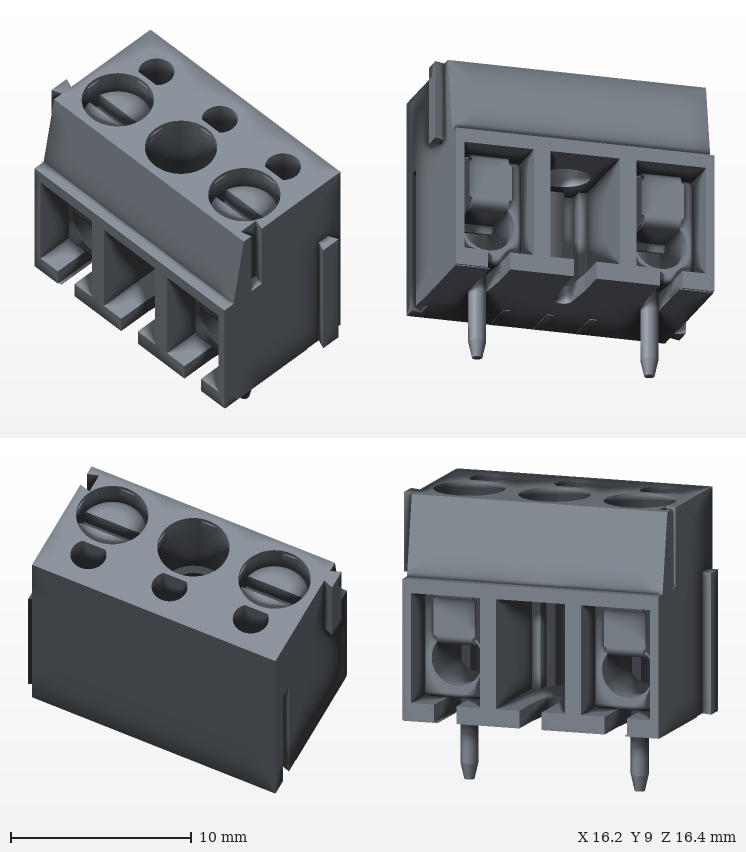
import cadquery as cq
import math


pitch = 5.0
middle_pole = 0.0
terminal_poles = (-pitch, pitch)
all_poles = (-pitch, middle_pole, pitch)

total_width = 16.2
housing_width = 3 * pitch
housing_height = 12.5
front_y = -4.0
rear_y = 5.0
ledge_z = 8.0
slope_bottom_y = -3.3
slope_top_y = -2.5

dovetail_reach = (total_width - housing_width) / 2
dovetail_wide = 1.2
dovetail_neck = 0.7
front_dovetail_y = -1.51
rear_dovetail_y = 3.67
front_groove_clearance = 0.05

floor_z = 1.0
window_top_z = 7.22
window_width = 4.05
window_rear_y = 2.0
pocket_width = 3.05
pocket_rear_y = 3.0

slot_width = 1.31
slot_taper_y = -1.9

bore_diameter = 4.0
shelf_hole_diameter = 3.0
shelf_top_z = ledge_z
test_hole_diameter = 2.0
test_hole_y = 3.0
test_hole_flat_y = 2.3
lug_width = 1.0
lug_height = 0.5
lug_top_depth = 0.26

standoff_height = 0.05
standoff_edge_inset = 0.11
end_standoff_width = 2.0
end_standoff_rear_y = 2.4
rib_width = 0.4

block_size = 4.0
block_edge_radius = 0.3
wire_hole_diameter = 3.0
wire_hole_z = 3.23
pin_diameter = 1.0
pin_tip_diameter = 0.57
pin_length = 3.85
pin_tip_length = 0.93

leaf_thickness = 0.15
leaf_front_y = -2.5
leaf_bend_radius = 0.5
leaf_width = 2.13
leaf_plate_width = 2.45
leaf_leg_z = 4.08
leaf_leg_length = 2.5
leaf_lip_drop = 0.41
leaf_lip_angle = 20.0

screw_diameter = 3.9
screw_top_z = 11.2
screw_edge_radius = 0.2
drive_slot_width = 0.8
drive_slot_depth = 1.0

half_width = housing_width / 2
bore_radius = bore_diameter / 2
pin_radius = pin_diameter / 2
block_top_z = window_top_z - leaf_thickness
leaf_bend_inner_radius = leaf_bend_radius - leaf_thickness
leaf_back_y = leaf_front_y + leaf_thickness


def box(x_range, y_range, z_range):
    """Axis-aligned box between the given limits."""
    size = [high - low for low, high in (x_range, y_range, z_range)]
    corner = (x_range[0], y_range[0], z_range[0])
    return cq.Workplane("XY").box(*size, centered=False).translate(corner)


def centered_box(x, width, y_range, z_range):
    """Box centred on x."""
    return box((x - width / 2, x + width / 2), y_range, z_range)


def cylinder(x, y, diameter, z_range):
    """Upright cylinder."""
    bottom, top = z_range
    return cq.Workplane("XY", origin=(x, y, bottom)).circle(diameter / 2).extrude(top - bottom)


def dovetail(base_x, y, clearance, z_range):
    """Dovetail bar that widens in -X from its neck on the plane x = base_x."""
    bottom, top = z_range
    outer_x = base_x - dovetail_reach - clearance
    half_neck = dovetail_neck / 2 + clearance
    half_wide = dovetail_wide / 2
    points = [
        (base_x, y - half_neck),
        (base_x, y + half_neck),
        (outer_x, y + half_wide),
        (outer_x, y - half_wide),
    ]
    return cq.Workplane("XY", origin=(0, 0, bottom)).polyline(points).close().extrude(top - bottom)


def housing_shell():
    """Stepped and sloped side profile, extruded along X."""
    profile = [
        (front_y, 0),
        (rear_y, 0),
        (rear_y, housing_height),
        (slope_top_y, housing_height),
        (slope_bottom_y, ledge_z),
        (front_y, ledge_z),
    ]
    return cq.Workplane("YZ", origin=(-half_width, 0, 0)).polyline(profile).close().extrude(housing_width)


def wire_window(x):
    """Wire window with a narrower pocket behind it."""
    z_range = (floor_z, window_top_z)
    window = centered_box(x, window_width, (front_y, window_rear_y), z_range)
    pocket = centered_box(x, pocket_width, (front_y, pocket_rear_y), z_range)
    return window.union(pocket)


def pin_slot(x):
    """Slot from the front through the floor, tapering to a round end around the pin."""
    half_slot = slot_width / 2
    return (
        cq.Workplane("XY", origin=(x, 0, 0))
        .moveTo(-half_slot, front_y)
        .lineTo(half_slot, front_y)
        .lineTo(half_slot, slot_taper_y)
        .lineTo(pin_radius, 0)
        .threePointArc((0, pin_radius), (-pin_radius, 0))
        .lineTo(-half_slot, slot_taper_y)
        .close()
        .extrude(floor_z)
    )


def test_hole(x):
    """Round hole with a flat on its front side, down to the floor."""
    z_range = (floor_z, housing_height)
    round_hole = cylinder(x, test_hole_y, test_hole_diameter, z_range)
    return round_hole.intersect(
        centered_box(x, test_hole_diameter, (test_hole_flat_y, rear_y), z_range)
    )


def screw_bore(x):
    """Screw bore with four flat lugs left in its wall; the middle one ends on a holed shelf."""
    bottom = shelf_top_z if x == middle_pole else window_top_z
    bore = cylinder(x, 0, bore_diameter, (bottom, housing_height))
    flat_distance = math.sqrt(bore_radius**2 - (lug_width / 2) ** 2)
    lug_top = housing_height - lug_top_depth
    lug = box(
        (flat_distance, bore_radius),
        (-lug_width / 2, lug_width / 2),
        (lug_top - lug_height, lug_top),
    )
    for angle in (0, 90, 180, 270):
        bore = bore.cut(lug.rotate((0, 0, 0), (0, 0, 1), angle).translate((x, 0, 0)))
    if x == middle_pole:
        bore = bore.union(cylinder(x, 0, shelf_hole_diameter, (window_top_z, shelf_top_z)))
    return bore


def standoffs():
    """Thin pads under the ends and ribs under the rear half."""
    z_range = (-standoff_height, 0)
    pad_y = (front_y + standoff_edge_inset, end_standoff_rear_y)
    rib_y = (end_standoff_rear_y, rear_y - standoff_edge_inset)
    pads = [
        box((-half_width, end_standoff_width - half_width), pad_y, z_range),
        box((half_width - end_standoff_width, half_width), pad_y, z_range),
    ]
    ribs = [centered_box(x, rib_width, rib_y, z_range) for x in (-pitch / 2, 0, pitch / 2)]
    return pads + ribs


def make_housing():
    upper = (ledge_z, housing_height)
    lower = (0, ledge_z)
    body = housing_shell()
    for cut_x in all_poles:
        for cutter in (wire_window(cut_x), pin_slot(cut_x), test_hole(cut_x), screw_bore(cut_x)):
            body = body.cut(cutter)
    body = body.cut(dovetail(half_width, front_dovetail_y, front_groove_clearance, upper))
    body = body.cut(
        dovetail(half_width, rear_dovetail_y, 0, lower).mirror("YZ")
    )
    body = body.union(dovetail(-half_width, front_dovetail_y, 0, upper))
    body = body.union(dovetail(-half_width, rear_dovetail_y, 0, lower).mirror("YZ"))
    for standoff in standoffs():
        body = body.union(standoff)
    return body


def make_screw(x):
    """Screw head with a rounded rim and a straight drive slot, seated on the terminal block."""
    head = cylinder(x, 0, screw_diameter, (block_top_z, screw_top_z))
    head = head.faces(">Z").edges().fillet(screw_edge_radius)
    slot_y = (-drive_slot_width / 2, drive_slot_width / 2)
    return head.cut(
        centered_box(x, screw_diameter, slot_y, (screw_top_z - drive_slot_depth, screw_top_z))
    )


def make_leaf(x):
    """Bent strip that hooks over the block, covers its front and turns into the wire hole.

    Its upper leg runs toward the pole axis and ends where the screw bore begins.
    """
    bend_y = leaf_front_y + leaf_bend_radius
    upper_bend_z = window_top_z - leaf_bend_radius
    lower_bend_z = leaf_leg_z + leaf_bend_radius
    diagonal = math.sqrt(0.5)
    outer_mid = leaf_bend_radius * diagonal
    inner_mid = leaf_bend_inner_radius * diagonal
    leg_end_y = bend_y + leaf_leg_length
    leg_top_z = leaf_leg_z + leaf_thickness
    lip_z = leaf_leg_z - leaf_lip_drop
    slant = math.tan(math.radians(leaf_lip_angle))
    lip_width = leaf_thickness / math.cos(math.radians(leaf_lip_angle))
    lip_front_y = leg_end_y + leaf_lip_drop * slant
    strip = (
        cq.Workplane("YZ", origin=(x - leaf_width / 2, 0, 0))
        .moveTo(0, window_top_z)
        .lineTo(bend_y, window_top_z)
        .threePointArc((bend_y - outer_mid, upper_bend_z + outer_mid), (leaf_front_y, upper_bend_z))
        .lineTo(leaf_front_y, lower_bend_z)
        .threePointArc((bend_y - outer_mid, lower_bend_z - outer_mid), (bend_y, leaf_leg_z))
        .lineTo(leg_end_y, leaf_leg_z)
        .lineTo(lip_front_y, lip_z)
        .lineTo(lip_front_y + lip_width, lip_z)
        .lineTo(leg_end_y + lip_width - leaf_thickness * slant, leg_top_z)
        .lineTo(bend_y, leg_top_z)
        .threePointArc((bend_y - inner_mid, lower_bend_z - inner_mid), (leaf_back_y, lower_bend_z))
        .lineTo(leaf_back_y, upper_bend_z)
        .threePointArc((bend_y - inner_mid, upper_bend_z + inner_mid), (bend_y, block_top_z))
        .lineTo(0, block_top_z)
        .close()
        .extrude(leaf_width)
    )
    plate = centered_box(
        x, leaf_plate_width, (leaf_front_y, leaf_back_y), (lower_bend_z, upper_bend_z)
    )
    plate = plate.edges("|Y").fillet((leaf_plate_width - leaf_width) / 2)
    screw_room = cylinder(x, 0, bore_diameter, (block_top_z, housing_height))
    return strip.union(plate).cut(screw_room)


def make_terminal(x):
    """Rounded block with a wire hole and a tapered solder pin."""
    side = (-block_size / 2, block_size / 2)
    block = centered_box(x, block_size, side, (floor_z, block_top_z)).edges().fillet(block_edge_radius)
    wire_hole = (
        cq.Workplane("XZ", origin=(x, block_size / 2, wire_hole_z))
        .circle(wire_hole_diameter / 2)
        .extrude(block_size)
    )
    tip_z = -pin_length - standoff_height
    pin = cylinder(x, 0, pin_diameter, (tip_z + pin_tip_length, floor_z))
    tip = (
        cq.Workplane("XY", origin=(x, 0, tip_z))
        .circle(pin_tip_diameter / 2)
        .workplane(offset=pin_tip_length)
        .circle(pin_radius)
        .loft()
    )
    return block.cut(wire_hole).union(pin).union(tip)


housing = make_housing()
screws = [make_screw(x) for x in terminal_poles]
leaves = [make_leaf(x) for x in terminal_poles]
terminals = [make_terminal(x) for x in terminal_poles]

result = cq.Compound.makeCompound(
    [housing.val()] + [part.val() for part in screws + leaves + terminals]
)